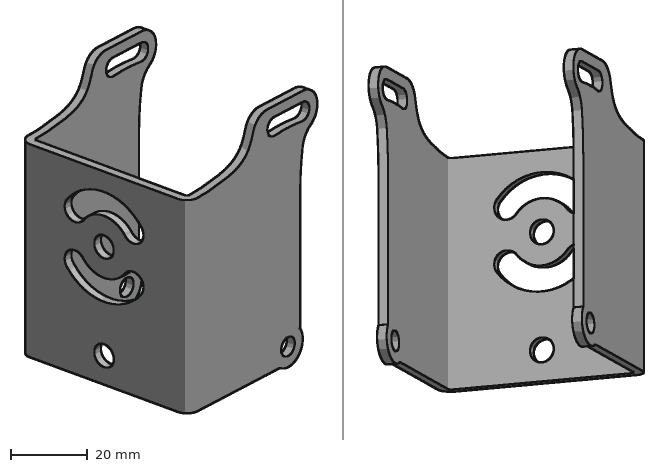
import cadquery as cq
import math

width = 57.6
depth = 52.25
height = 78.0
thickness = 2.7
bend_radius = 3.6

bottom_edge_z = 1.0
front_top_z = 62.9
rear_edge_y = 45.3

ear_radius = 6.0
top_ear_z = height - ear_radius
top_ear_rear_y = depth - ear_radius
top_ear_front_y = 32.0
top_ear_front_angle = 163.0
top_ear_rear_angle = -52.0
bottom_ear_y = 40.3
bottom_ear_z = ear_radius
bottom_hole_diameter = 5.45

slot_radius = 2.7
slot_rear_y = top_ear_rear_y
slot_front_y = 34.7
slot_floor_rise = 0.3

top_edge_points = [(23.6, 68.3), (16.7, 64.6), (9.35, 63.4)]
top_edge_end_slope = 0.03
flare_start_z = 49.15
flare_end = (46.25, 61.6)

front_hole_diameter = 6.6
upper_hole_z = 41.0
lower_hole_z = 9.4
arc_slot_radius = 12.5
arc_slot_width = 6.95
arc_slot_half_angle = 52.6


def polar(center_u, center_v, radius, angle):
    """Point on a circle in a sketch plane, with the angle in degrees."""
    turn = math.radians(angle)
    return center_u + radius * math.cos(turn), center_v + radius * math.sin(turn)


def rounded_block(block_width, front_y, corner_radius):
    """Full-height block from front_y to the rear, with its two front corners rounded."""
    return (
        cq.Workplane("XY")
        .box(block_width, depth - front_y, height, centered=(True, False, False))
        .translate((0, front_y, 0))
        .edges("|Z and <Y")
        .fillet(corner_radius)
    )


def bent_sheet():
    """U-shaped channel of full height with rounded bends."""
    outer = rounded_block(width, 0, bend_radius)
    inner = rounded_block(width - 2 * thickness, thickness, bend_radius - thickness)
    return outer.cut(inner)


def side_plane():
    """YZ plane on the -X side of the part, facing +X."""
    return cq.Workplane("YZ", origin=(-width / 2, 0, 0))


def side_outline():
    """Side wall shape, extruded across the full width."""
    ear_rear_end = polar(top_ear_rear_y, top_ear_z, ear_radius, top_ear_rear_angle)
    ear_front_end = polar(top_ear_front_y, top_ear_z, ear_radius, top_ear_front_angle)
    ear_front_middle = polar(top_ear_front_y, top_ear_z, ear_radius, (90 + top_ear_front_angle) / 2)
    ear_front_tangent = polar(0, 0, 1, top_ear_front_angle + 90)
    wall = (
        side_plane()
        .moveTo(0, bottom_edge_z)
        .lineTo(bottom_ear_y, bottom_edge_z)
        .lineTo(rear_edge_y, bottom_ear_z)
        .lineTo(rear_edge_y, flare_start_z)
        .tangentArcPoint(flare_end, relative=False)
        .tangentArcPoint(ear_rear_end, relative=False)
        .threePointArc((depth, top_ear_z), (top_ear_rear_y, height))
        .lineTo(top_ear_front_y, height)
        .threePointArc(ear_front_middle, ear_front_end)
        .spline(
            top_edge_points + [(0, front_top_z)],
            tangents=[ear_front_tangent, (-1, -top_edge_end_slope)],
            includeCurrent=True,
        )
        .close()
        .extrude(width)
    )
    bottom_ear = (
        side_plane()
        .center(bottom_ear_y, bottom_ear_z)
        .circle(ear_radius)
        .extrude(width)
    )
    return wall.union(bottom_ear)


def side_openings():
    """Slot in the top ears and hole in the bottom ears, through both walls."""
    slot_top = top_ear_z + slot_radius
    slot_bottom = top_ear_z - slot_radius
    slot_middle_y = (slot_front_y + slot_rear_y) / 2
    slot = (
        side_plane()
        .moveTo(slot_front_y, slot_top)
        .lineTo(slot_rear_y, slot_top)
        .threePointArc((slot_rear_y + slot_radius, top_ear_z), (slot_rear_y, slot_bottom))
        .threePointArc((slot_middle_y, slot_bottom + slot_floor_rise), (slot_front_y, slot_bottom))
        .threePointArc((slot_front_y - slot_radius, top_ear_z), (slot_front_y, slot_top))
        .close()
        .extrude(width)
    )
    hole = (
        side_plane()
        .center(bottom_ear_y, bottom_ear_z)
        .circle(bottom_hole_diameter / 2)
        .extrude(width)
    )
    return slot.union(hole)


def arc_slot(middle_angle):
    """Curved slot about the upper hole, centred on the given direction."""
    start_angle = middle_angle - arc_slot_half_angle
    end_angle = middle_angle + arc_slot_half_angle
    outer_radius = arc_slot_radius + arc_slot_width / 2
    inner_radius = arc_slot_radius - arc_slot_width / 2

    def on_arc(radius, angle):
        return polar(0, upper_hole_z, radius, angle)

    band = (
        cq.Workplane("XZ")
        .moveTo(*on_arc(outer_radius, start_angle))
        .threePointArc(on_arc(outer_radius, middle_angle), on_arc(outer_radius, end_angle))
        .lineTo(*on_arc(inner_radius, end_angle))
        .threePointArc(on_arc(inner_radius, middle_angle), on_arc(inner_radius, start_angle))
        .close()
        .extrude(-thickness)
    )
    round_ends = (
        cq.Workplane("XZ")
        .pushPoints([on_arc(arc_slot_radius, start_angle), on_arc(arc_slot_radius, end_angle)])
        .circle(arc_slot_width / 2)
        .extrude(-thickness)
    )
    return band.union(round_ends)


def front_holes():
    """Two round holes through the front plate."""
    return (
        cq.Workplane("XZ")
        .pushPoints([(0, upper_hole_z), (0, lower_hole_z)])
        .circle(front_hole_diameter / 2)
        .extrude(-thickness)
    )


result = bent_sheet().intersect(side_outline()).cut(side_openings()).cut(front_holes())
for slot_direction in (90, 270):
    result = result.cut(arc_slot(slot_direction))